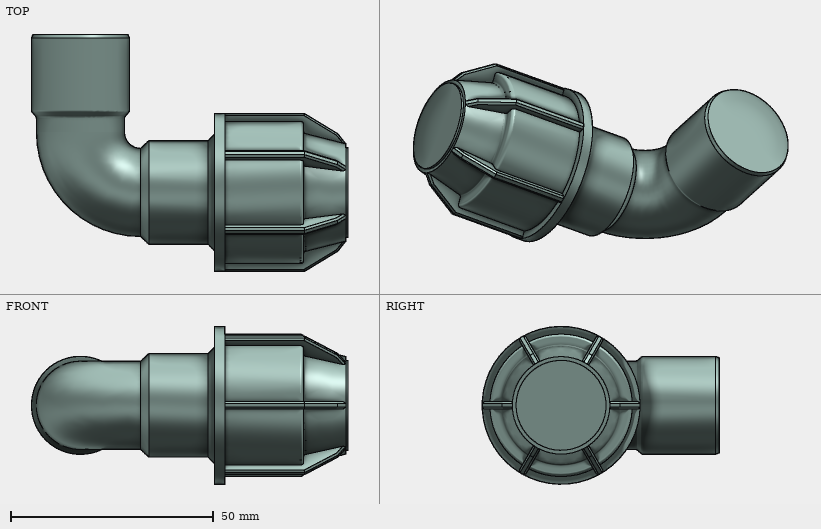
import cadquery as cq


total_length = 78.1
total_width = 58.5
flange_radius = 39.0 / 2

tube_radius = 21.8 / 2
bend_radius = 14.85

spigot_radius = 24.2 / 2
spigot_end = total_width - flange_radius
spigot_chamfer_length = 0.9
spigot_chamfer_depth = 0.4
shoulder_top = 20.0
shoulder_bottom = 18.6
shoulder_rounding = 0.85
neck_rounding = 0.85

collar_radius = 25.6 / 2
collar_chamfer = 2.0
flare_radius = 14.4
flare_length = 1.6

nut_end = total_length - spigot_radius
lip_length = 0.55
lip_radius = 11.1
flange_start = 33.05
flange_end = flange_start + 2.6
body_radius = 17.6
body_end = 55.1
body_rounding = 0.85
cone_large_radius = 14.5
cone_blend = 0.55
cone_small_radius = 12.0
cone_end = nut_end - lip_length

rib_count = 6
rib_width = 1.9
rib_crest_chamfer = 0.5
rib_radius = 19.45
rib_taper_start = 55.3
rib_knee = 63.4
rib_knee_radius = 14.5
rib_tip_radius = cone_small_radius


def make_elbow():
    """Quarter bend from the collar to the straight tube below the spigot."""
    return (
        cq.Workplane("YZ", origin=(bend_radius, 0, 0))
        .circle(tube_radius)
        .revolve(90, (bend_radius, 0.8, 0), (bend_radius, 0, 0))
    )


def edges_near_height(height):
    """Selector for the circular edges of the spigot at one distance along Y."""
    margin = 0.15
    reach = spigot_radius + margin
    return cq.selectors.BoxSelector((-reach, height - margin, -reach), (reach, height + margin, reach))


def make_spigot():
    """Plain pipe end with a chamfered mouth and a rounded conical shoulder down to the straight tube."""
    profile = [
        (0, bend_radius),
        (tube_radius, bend_radius),
        (tube_radius, shoulder_bottom),
        (spigot_radius, shoulder_top),
        (spigot_radius, spigot_end - spigot_chamfer_length),
        (spigot_radius - spigot_chamfer_depth, spigot_end),
        (0, spigot_end),
    ]
    spigot = cq.Workplane("XY").polyline(profile).close().revolve(360, (0, 0, 0), (0, 1, 0))
    spigot = spigot.edges(edges_near_height(shoulder_top)).fillet(shoulder_rounding)
    return spigot.edges(edges_near_height(shoulder_bottom)).fillet(neck_rounding)


def make_collar_and_nut():
    """Collar, flange, nut body and tapered nose turned about the X axis."""
    flare_start = flange_start - flare_length
    return (
        cq.Workplane("XY")
        .moveTo(bend_radius, 0)
        .lineTo(bend_radius, tube_radius)
        .lineTo(bend_radius + collar_chamfer, collar_radius)
        .lineTo(flare_start, collar_radius)
        .lineTo(flange_start, flare_radius)
        .lineTo(flange_start, flange_radius)
        .lineTo(flange_end, flange_radius)
        .lineTo(flange_end, body_radius)
        .lineTo(body_end - body_rounding, body_radius)
        .radiusArc((body_end, body_radius - body_rounding), body_rounding)
        .lineTo(body_end, cone_large_radius + cone_blend)
        .radiusArc((body_end + cone_blend, cone_large_radius), -cone_blend)
        .lineTo(cone_end, cone_small_radius)
        .lineTo(cone_end, lip_radius)
        .lineTo(nut_end, lip_radius)
        .lineTo(nut_end, 0)
        .close()
        .revolve(360, (0, 0, 0), (1, 0, 0))
    )


def make_rib():
    """One grip rib pointing to +Y with both crest edges broken."""
    slab = (
        cq.Workplane("XY")
        .moveTo(flange_end, 0)
        .lineTo(flange_end, rib_radius)
        .lineTo(rib_taper_start, rib_radius)
        .lineTo(rib_knee, rib_knee_radius)
        .lineTo(cone_end, rib_tip_radius)
        .lineTo(cone_end, 0)
        .close()
        .extrude(rib_width / 2, both=True)
    )
    crest_zone = cq.selectors.BoxSelector(
        (flange_end, rib_tip_radius, -rib_width),
        (nut_end, flange_radius, rib_width),
    )
    return slab.edges("#Z").edges(crest_zone).chamfer(rib_crest_chamfer)


result = make_elbow().union(make_spigot()).union(make_collar_and_nut())
for index in range(rib_count):
    result = result.union(make_rib().rotate((0, 0, 0), (1, 0, 0), index * 360 / rib_count))